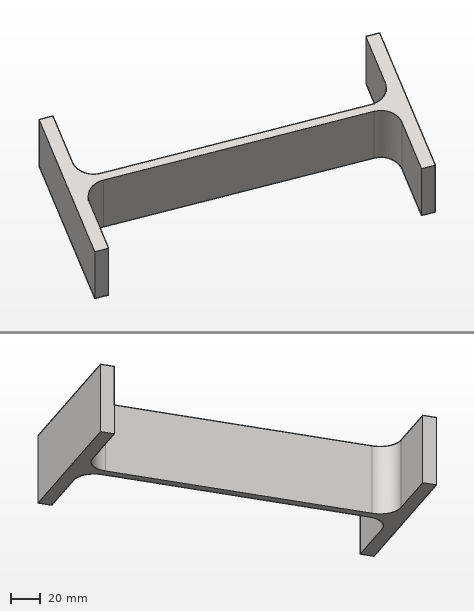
import cadquery as cq

section_depth = 240.0
flange_width = 120.0
flange_thickness = 9.8
web_thickness = 6.2
root_radius = 15.0
beam_length = 50.0

web_depth = section_depth - 2 * flange_thickness
flange_offset = (section_depth - flange_thickness) / 2


def plate(width, depth, center_y):
    """Rectangular plate standing on Z = 0, centred on X = 0."""
    return (
        cq.Workplane("XY")
        .center(0, center_y)
        .rect(width, depth)
        .extrude(beam_length)
    )


web = plate(web_thickness, section_depth, 0)
beam = web
for side in (-1, 1):
    beam = beam.union(plate(flange_width, flange_thickness, side * flange_offset))

root_corners = cq.selectors.BoxSelector(
    (-web_thickness, -web_depth / 2 - web_thickness, 0),
    (web_thickness, web_depth / 2 + web_thickness, beam_length),
)
result = beam.edges("|Z").edges(root_corners).fillet(root_radius)